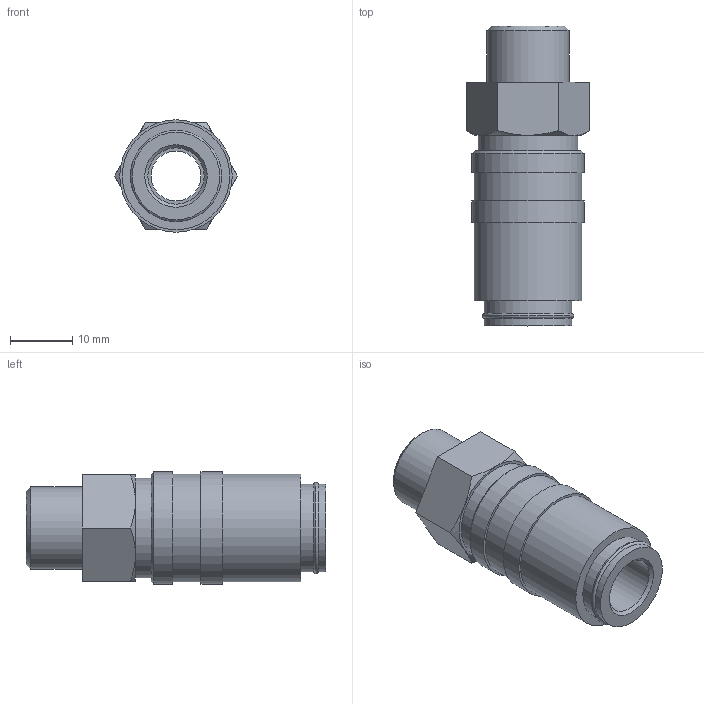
import cadquery as cq
import math


THREAD_LENGTH = 9.0
HEX_LENGTH = 8.5
NECK_LENGTH = 2.5
REAR_COLLAR_LENGTH = 3.5
WAIST_LENGTH = 4.5
FRONT_COLLAR_LENGTH = 3.5
SLEEVE_LENGTH = 12.5
NOSE_LENGTH = 4.0

THREAD_DIAMETER = 13.157
HEX_ACROSS_FLATS = 17.0
NECK_DIAMETER = 16.0
COLLAR_DIAMETER = 18.0
SLEEVE_DIAMETER = 17.2
NOSE_DIAMETER = 14.0

THREAD_CHAMFER = 0.75
COLLAR_CHAMFER = 0.45
HEX_CHAMFER_ANGLE = 30.0
ENVELOPE_CLEARANCE = 1.0

RING_WIRE_DIAMETER = 0.8
RING_PROJECTION = 0.3
RING_TO_NOSE_END = 1.6
RING_CENTRE_RADIUS = NOSE_DIAMETER / 2 + RING_PROJECTION - RING_WIRE_DIAMETER / 2

PASSAGE_DIAMETER = 8.0
SOCKET_DIAMETER = 9.0
SOCKET_DEPTH = NOSE_LENGTH + SLEEVE_LENGTH
MOUTH_CHAMFER = 0.5

HEX_ACROSS_CORNERS = HEX_ACROSS_FLATS / math.cos(math.radians(30))

SECTION_LENGTHS = (
    THREAD_LENGTH, HEX_LENGTH, NECK_LENGTH, REAR_COLLAR_LENGTH,
    WAIST_LENGTH, FRONT_COLLAR_LENGTH, SLEEVE_LENGTH, NOSE_LENGTH,
)
TOTAL_LENGTH = sum(SECTION_LENGTHS)
THREAD_END_Y = TOTAL_LENGTH / 2
HEX_BACK_Y = THREAD_END_Y - THREAD_LENGTH
HEX_FRONT_Y = HEX_BACK_Y - HEX_LENGTH
REAR_COLLAR_Y = HEX_FRONT_Y - NECK_LENGTH
WAIST_Y = REAR_COLLAR_Y - REAR_COLLAR_LENGTH
FRONT_COLLAR_Y = WAIST_Y - WAIST_LENGTH
SLEEVE_Y = FRONT_COLLAR_Y - FRONT_COLLAR_LENGTH
NOSE_Y = SLEEVE_Y - SLEEVE_LENGTH
NOSE_END_Y = NOSE_Y - NOSE_LENGTH


def cylinder(start_y, length, diameter):
    """Solid cylinder on the Y axis running from start_y toward -Y."""
    plane = cq.Workplane("XZ", origin=(0, start_y, 0))
    return plane.circle(diameter / 2).extrude(length)


def revolve_about_y(profile):
    """Full revolution of a closed XY profile about the Y axis."""
    return profile.close().revolve(360, (0, 0, 0), (0, 1, 0))


def threaded_end():
    stub = cylinder(THREAD_END_Y, THREAD_LENGTH, THREAD_DIAMETER)
    return stub.faces(">Y").chamfer(THREAD_CHAMFER)


def hex_nut():
    """Hexagon with two corners on the X axis and its front corners turned off by a cone."""
    plane = cq.Workplane("XZ", origin=(0, HEX_BACK_Y, 0))
    hexagon = plane.polygon(6, HEX_ACROSS_CORNERS).extrude(HEX_LENGTH)
    flat_radius = HEX_ACROSS_FLATS / 2
    corner_radius = HEX_ACROSS_CORNERS / 2
    envelope_radius = corner_radius + ENVELOPE_CLEARANCE
    cone_length = (envelope_radius - flat_radius) * math.tan(math.radians(HEX_CHAMFER_ANGLE))
    envelope = revolve_about_y(
        cq.Workplane("XY")
        .moveTo(0, HEX_BACK_Y)
        .lineTo(envelope_radius, HEX_BACK_Y)
        .lineTo(envelope_radius, HEX_FRONT_Y + cone_length)
        .lineTo(flat_radius, HEX_FRONT_Y)
        .lineTo(0, HEX_FRONT_Y)
    )
    return hexagon.intersect(envelope)


def sleeve_body():
    """Neck, two collars and the gripping sleeve."""
    neck = cylinder(HEX_FRONT_Y, NECK_LENGTH, NECK_DIAMETER)
    rear_collar = cylinder(REAR_COLLAR_Y, REAR_COLLAR_LENGTH, COLLAR_DIAMETER)
    rear_collar = rear_collar.faces(">Y").chamfer(COLLAR_CHAMFER)
    waist = cylinder(WAIST_Y, WAIST_LENGTH, SLEEVE_DIAMETER)
    front_collar = cylinder(FRONT_COLLAR_Y, FRONT_COLLAR_LENGTH, COLLAR_DIAMETER)
    sleeve = cylinder(SLEEVE_Y, SLEEVE_LENGTH, SLEEVE_DIAMETER)
    return neck.union(rear_collar).union(waist).union(front_collar).union(sleeve)


def nose():
    """Plug nose with a snap ring partly sunk into its surface."""
    plug = cylinder(NOSE_Y, NOSE_LENGTH, NOSE_DIAMETER)
    ring_y = NOSE_END_Y + RING_TO_NOSE_END
    section = cq.Workplane("XY").center(RING_CENTRE_RADIUS, ring_y).circle(RING_WIRE_DIAMETER / 2)
    ring = section.revolve(360, (-RING_CENTRE_RADIUS, 0, 0), (-RING_CENTRE_RADIUS, 1, 0))
    return plug.union(ring)


def bore():
    """Passage through the whole part with a chamfered socket in the nose."""
    passage_radius = PASSAGE_DIAMETER / 2
    socket_radius = SOCKET_DIAMETER / 2
    socket_floor_y = NOSE_END_Y + SOCKET_DEPTH
    return revolve_about_y(
        cq.Workplane("XY")
        .moveTo(0, THREAD_END_Y)
        .lineTo(passage_radius, THREAD_END_Y)
        .lineTo(passage_radius, socket_floor_y)
        .lineTo(socket_radius, socket_floor_y)
        .lineTo(socket_radius, NOSE_END_Y + MOUTH_CHAMFER)
        .lineTo(socket_radius + MOUTH_CHAMFER, NOSE_END_Y)
        .lineTo(0, NOSE_END_Y)
    )


body = threaded_end().union(hex_nut()).union(sleeve_body()).union(nose())
result = body.cut(bore())